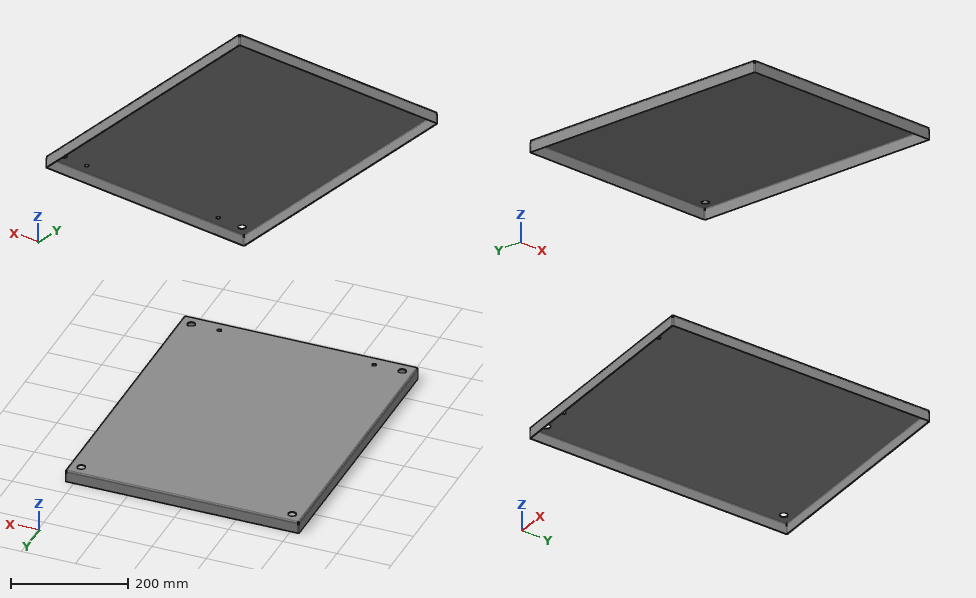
import cadquery as cq

width = 432.0
length = 533.5
height = 22.5

sheet = 2.05
bend_radius = 2.5
inner_bend_radius = bend_radius - sheet
relief_depth = 5.5

mount_diameter = 14.5
mount_inset = 21.5
small_diameter = 8.0
small_spacing = 286.0

mount_x = width / 2 - mount_inset
mount_y = length / 2 - mount_inset


def folded_panel():
    """Flat face with four flanges joined by rounded corners, open underneath."""
    outer = (
        cq.Workplane("XY")
        .box(width, length, height, centered=(True, True, False))
        .edges("|Z or >Z")
        .fillet(bend_radius)
    )
    inner = (
        cq.Workplane("XY")
        .box(width - 2 * sheet, length - 2 * sheet, height - sheet, centered=(True, True, False))
        .edges("|Z or >Z")
        .fillet(inner_bend_radius)
    )
    return outer.cut(inner)


def corner_reliefs():
    """Square notches where the bends of two flanges would meet at each corner."""
    return (
        cq.Workplane("XY")
        .workplane(offset=height - relief_depth)
        .rect(width - bend_radius, length - bend_radius, forConstruction=True)
        .vertices()
        .rect(bend_radius, bend_radius)
        .extrude(relief_depth)
    )


def hole_cutters(points, diameter):
    return cq.Workplane("XY").pushPoints(points).circle(diameter / 2).extrude(height)


mount_points = [(x, y) for x in (-mount_x, mount_x) for y in (-mount_y, mount_y)]
small_points = [(x, -mount_y) for x in (-small_spacing / 2, small_spacing / 2)]

result = (
    folded_panel()
    .cut(corner_reliefs())
    .cut(hole_cutters(mount_points, mount_diameter))
    .cut(hole_cutters(small_points, small_diameter))
)